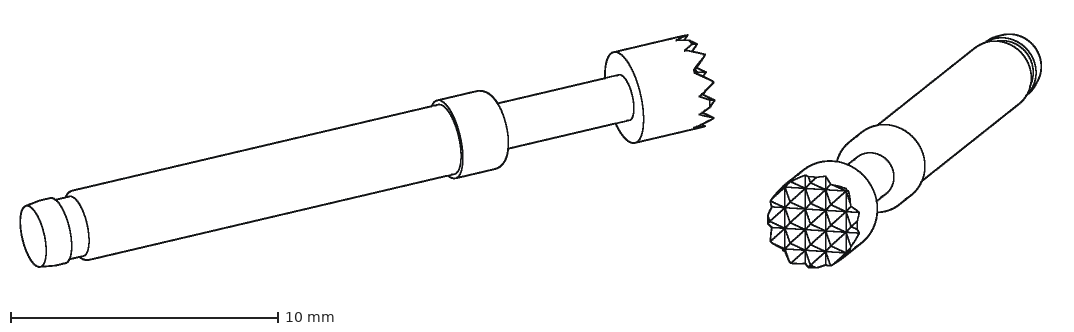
import cadquery as cq
import math

total_length = 27.3

tail_face_radius = 1.17
tail_ring_radius = 1.25
tail_taper_length = 0.57
tail_ring_length = 1.0

groove_radius = 1.15
groove_end = 1.77

barrel_radius = 1.35
barrel_rounding = barrel_radius - groove_radius

collar_radius = 1.5
collar_start = 16.98
collar_length = 2.02
collar_rounding = 0.4
collar_end = collar_start + collar_length

stem_radius = 0.87
head_radius = 1.75
head_length = 3.0
head_start = total_length - head_length

tooth_pitch = 0.8
tooth_angle = 60.0
tooth_depth = tooth_pitch / 2 / math.tan(math.radians(tooth_angle / 2))
grooves_per_side = 3
cut_clearance = 0.27


def turned_body():
    """Revolve the half outline (radius, Y) about the Y axis."""
    diagonal = math.sqrt(0.5)
    barrel_arc_middle = (
        groove_radius + barrel_rounding * diagonal,
        groove_end + barrel_rounding * (1 - diagonal),
    )
    collar_arc_middle = (
        collar_radius - collar_rounding * (1 - diagonal),
        collar_end - collar_rounding * (1 - diagonal),
    )
    outline = (
        cq.Workplane("XY")
        .lineTo(tail_face_radius, 0)
        .lineTo(tail_ring_radius, tail_taper_length)
        .lineTo(tail_ring_radius, tail_ring_length)
        .lineTo(groove_radius, tail_ring_length)
        .lineTo(groove_radius, groove_end)
        .threePointArc(barrel_arc_middle, (barrel_radius, groove_end + barrel_rounding))
        .lineTo(barrel_radius, collar_start)
        .lineTo(collar_radius, collar_start)
        .lineTo(collar_radius, collar_end - collar_rounding)
        .threePointArc(collar_arc_middle, (collar_radius - collar_rounding, collar_end))
        .lineTo(stem_radius, collar_end)
        .lineTo(stem_radius, head_start)
        .lineTo(head_radius, head_start)
        .lineTo(head_radius, total_length)
        .lineTo(0, total_length)
        .close()
    )
    return outline.revolve(360, (0, 0, 0), (0, 1, 0))


def tooth_grooves():
    """Row of V grooves along Z whose crests meet at the head's end face."""
    valley = total_length - tooth_depth
    row_half_width = grooves_per_side * tooth_pitch
    points = [(-row_half_width, total_length)]
    for index in range(2 * grooves_per_side):
        crest = -row_half_width + index * tooth_pitch
        points.append((crest + tooth_pitch / 2, valley))
        points.append((crest + tooth_pitch, total_length))
    points.append((row_half_width, total_length + cut_clearance))
    points.append((-row_half_width, total_length + cut_clearance))
    return (
        cq.Workplane("XY")
        .polyline(points)
        .close()
        .extrude(head_radius + cut_clearance, both=True)
    )


grooves_along_z = tooth_grooves()
grooves_along_x = grooves_along_z.rotate((0, 0, 0), (0, 1, 0), 90)
result = turned_body().cut(grooves_along_z).cut(grooves_along_x)